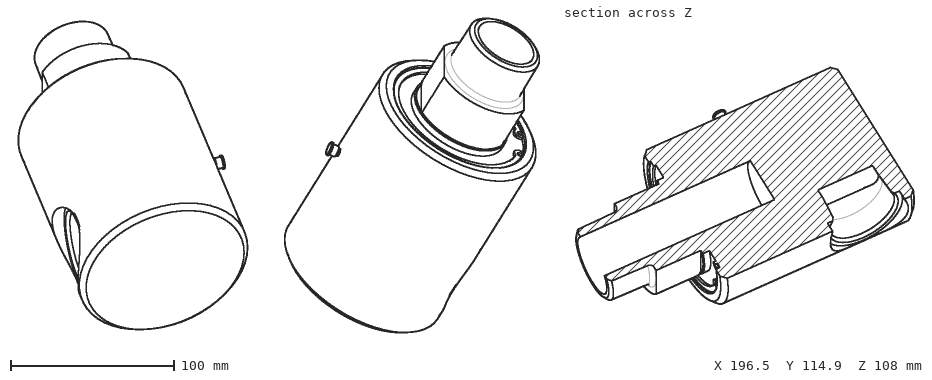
import cadquery as cq
LENGTH = 196.5

BORE_DIA = 38.1
BORE_LENGTH = 117.9
NIPPLE_TIP_DIA = 43.2
NIPPLE_START_DIA = 48.1
NIPPLE_END_DIA = 49.0
TIP_CHAMFER_LENGTH = 2.0
COVE_START_X = 26.7
COVE_DIA = 54.0
COVE_SAG = 0.5

WRENCH_START_X = 29.7
WRENCH_END_X = 60.5
WRENCH_DIA = 64.0
WRENCH_END_CHAMFER = 1.0
FLATS_WIDTH = 55.0

GROOVE_DIA = 61.7
GROOVE_WIDTH = 0.4

BODY_DIA = 108.0
BODY_START_X = 62.3
BODY_CHAMFER = 3.3

RECESS_DIA = 90.0
RECESS_MOUTH_DIA = 91.5
RECESS_DEPTH = 3.0
RING_INNER_DIA = 83.0
RING_THICKNESS = 1.5
EAR_Y = -42.0
EAR_Z = 11.2
EAR_DIA = 7.9
EAR_HOLE_DIA = 3.1

PORT_X = 163.7
PORT_SPOTFACE_DIA = 54.0
PORT_FLOOR_Y = -46.4
PORT_MOUTH_DIA = 48.0
PORT_THREAD_DIA = 45.2
PORT_CHAMFER_DEPTH = 2.4
PORT_THREAD_DEPTH = 16.9
PORT_DIA = 43.2
CORE_DIA = 49.5

FITTING_X = 119.8
FITTING_HEIGHT = 6.9
FITTING_HEAD_DIA = 8.6
FITTING_HEAD_THICKNESS = 1.2
FITTING_HEAD_CHAMFER = 0.4
FITTING_BODY_DIA = 7.0
FITTING_BODY_LENGTH = 4.0
FITTING_CONE_LENGTH = 1.2
FITTING_NECK_DIA = 4.7
FITTING_ROOT_DEPTH = 2.0


def cylinder_x(diameter, start_x, length):
    """Solid cylinder on the main axis."""
    return cq.Workplane("YZ", origin=(start_x, 0, 0)).circle(diameter / 2).extrude(length)


def make_nipple():
    """Tapered nipple with a chamfered tip and a concave fillet at its root."""
    cove_mid_x = (COVE_START_X + WRENCH_START_X) / 2 + COVE_SAG
    cove_mid_radius = (NIPPLE_END_DIA + COVE_DIA) / 4 - COVE_SAG
    return (
        cq.Workplane("XY")
        .lineTo(0, NIPPLE_TIP_DIA / 2)
        .lineTo(TIP_CHAMFER_LENGTH, NIPPLE_START_DIA / 2)
        .lineTo(COVE_START_X, NIPPLE_END_DIA / 2)
        .threePointArc((cove_mid_x, cove_mid_radius), (WRENCH_START_X, COVE_DIA / 2))
        .lineTo(WRENCH_START_X, 0)
        .close()
        .revolve(360, (0, 0, 0), (1, 0, 0))
    )


def make_wrench_section():
    """Round section with two flats facing -Y and +Y, followed by the groove and the collar."""
    groove_end_x = WRENCH_END_X + GROOVE_WIDTH
    length = WRENCH_END_X - WRENCH_START_X
    flats = cq.Workplane("YZ", origin=(WRENCH_START_X, 0, 0)).rect(FLATS_WIDTH, WRENCH_DIA).extrude(length)
    turned = cylinder_x(WRENCH_DIA, WRENCH_START_X, length).faces(">X").chamfer(WRENCH_END_CHAMFER)
    section = turned.intersect(flats)
    groove = cylinder_x(GROOVE_DIA, WRENCH_END_X, GROOVE_WIDTH)
    collar = cylinder_x(WRENCH_DIA, groove_end_x, BODY_START_X + RECESS_DEPTH - groove_end_x)
    return section.union(groove).union(collar)


def make_recess():
    """Cutter for the front recess, with a bevelled mouth."""
    bevel = (RECESS_MOUTH_DIA - RECESS_DIA) / 2
    return (
        cq.Workplane("XY")
        .moveTo(BODY_START_X, 0)
        .lineTo(BODY_START_X, RECESS_MOUTH_DIA / 2)
        .lineTo(BODY_START_X + bevel, RECESS_DIA / 2)
        .lineTo(BODY_START_X + RECESS_DEPTH, RECESS_DIA / 2)
        .lineTo(BODY_START_X + RECESS_DEPTH, 0)
        .close()
        .revolve(360, (0, 0, 0), (1, 0, 0))
    )


def make_retaining_ring():
    """Open ring on the recess floor, with a drilled ear at each side of its gap."""
    start_x = BODY_START_X + RECESS_DEPTH - RING_THICKNESS
    plane = cq.Workplane("YZ", origin=(start_x, 0, 0))
    ear_points = [(EAR_Y, EAR_Z), (EAR_Y, -EAR_Z)]
    disc = cylinder_x(RECESS_DIA, start_x, RING_THICKNESS)
    gap = plane.center(-RECESS_DIA / 2, 0).rect(RECESS_DIA, 2 * EAR_Z).extrude(RING_THICKNESS)
    ears = plane.pushPoints(ear_points).circle(EAR_DIA / 2).extrude(RING_THICKNESS).intersect(disc)
    holes = plane.pushPoints(ear_points).circle(EAR_HOLE_DIA / 2).extrude(RING_THICKNESS)
    ring = disc.cut(cylinder_x(RING_INNER_DIA, start_x, RING_THICKNESS)).cut(gap)
    return ring.union(ears).cut(holes)


def make_body():
    """Main cylinder with chamfered ends and the front recess."""
    body = cylinder_x(BODY_DIA, BODY_START_X, LENGTH - BODY_START_X).edges().chamfer(BODY_CHAMFER)
    return body.cut(make_recess())


def make_port():
    """Cutter for the side port: spot face, bevel, tapered thread and straight hole, ending on the core."""
    bevel_end_y = PORT_FLOOR_Y + PORT_CHAMFER_DEPTH
    thread_end_y = PORT_FLOOR_Y + PORT_THREAD_DEPTH
    hole = (
        cq.Workplane("XY", origin=(PORT_X, 0, 0))
        .moveTo(0, -BODY_DIA / 2)
        .lineTo(PORT_SPOTFACE_DIA / 2, -BODY_DIA / 2)
        .lineTo(PORT_SPOTFACE_DIA / 2, PORT_FLOOR_Y)
        .lineTo(PORT_MOUTH_DIA / 2, PORT_FLOOR_Y)
        .lineTo(PORT_THREAD_DIA / 2, bevel_end_y)
        .lineTo(PORT_DIA / 2, thread_end_y)
        .lineTo(PORT_DIA / 2, 0)
        .lineTo(0, 0)
        .close()
        .revolve(360, (0, 0, 0), (0, 1, 0))
    )
    return hole.cut(cylinder_x(CORE_DIA, PORT_X - PORT_DIA, 2 * PORT_DIA))


def make_fitting():
    """Small headed nipple standing on the body, turned about a line parallel to Y."""
    surface_y = BODY_DIA / 2
    top_y = surface_y + FITTING_HEIGHT
    head_bottom_y = top_y - FITTING_HEAD_THICKNESS
    body_bottom_y = head_bottom_y - FITTING_BODY_LENGTH
    return (
        cq.Workplane("XY", origin=(FITTING_X, 0, 0))
        .moveTo(0, surface_y - FITTING_ROOT_DEPTH)
        .lineTo(FITTING_NECK_DIA / 2, surface_y - FITTING_ROOT_DEPTH)
        .lineTo(FITTING_NECK_DIA / 2, body_bottom_y - FITTING_CONE_LENGTH)
        .lineTo(FITTING_BODY_DIA / 2, body_bottom_y)
        .lineTo(FITTING_BODY_DIA / 2, head_bottom_y)
        .lineTo(FITTING_HEAD_DIA / 2, head_bottom_y)
        .lineTo(FITTING_HEAD_DIA / 2, top_y - FITTING_HEAD_CHAMFER)
        .lineTo(FITTING_HEAD_DIA / 2 - FITTING_HEAD_CHAMFER, top_y)
        .lineTo(0, top_y)
        .close()
        .revolve(360, (0, 0, 0), (0, 1, 0))
    )


result = (
    make_body()
    .union(make_retaining_ring())
    .union(make_wrench_section())
    .union(make_nipple())
    .union(make_fitting())
    .cut(cylinder_x(BORE_DIA, 0, BORE_LENGTH))
    .cut(make_port())
)